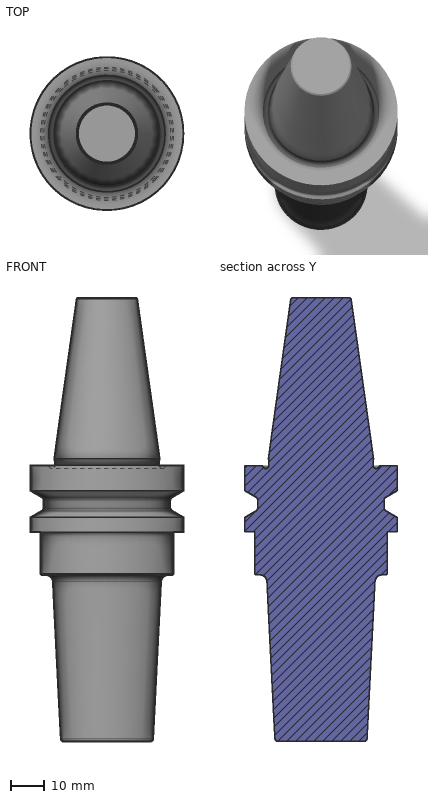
import cadquery as cq
import math

total_length = 133.4

nose_tip_radius = 13.9
nose_top_radius = 16.4
nose_tip_fillet_radius = 1.1

collar_radius = 20.0
collar_bottom_z = 50.0
collar_edge_chamfer = 0.4
neck_fillet_radius = 2.0

flange_diameter = 46.0
flange_radius = flange_diameter / 2
flange_bottom_z = 63.0
flange_top_z = 83.0
groove_bottom_z = 67.4
groove_top_z = 75.4
groove_floor_radius = 19.1
groove_wall_angle = 30.0
groove_fillet_radius = 0.8

taper_base_radius = 15.9
taper_base_z = 85.0
taper_tip_radius = 9.1
taper_tip_chamfer = 0.4

relief_radius = 15.7
relief_top_z = 84.3
recess_outer_radius = 17.5


def revolve_outline(points):
    """Turn a closed (radius, height) outline about the Z axis."""
    return cq.Workplane("XZ").polyline(points).close().revolve(360, (0, 0), (0, 1))


def ring_edges(body, radius, z):
    """Pick the circular edge of the given radius at the given height."""
    tolerance = 0.01
    return body.edges(
        cq.selectors.BoxSelector(
            (-radius - tolerance, -radius - tolerance, z - tolerance),
            (radius + tolerance, radius + tolerance, z + tolerance),
            boundingbox=True,
        )
    )


def make_nose():
    nose = revolve_outline([
        (0, 0),
        (nose_tip_radius, 0),
        (nose_top_radius, collar_bottom_z),
        (0, collar_bottom_z),
    ])
    return nose.faces("<Z").fillet(nose_tip_fillet_radius)


def make_collar():
    collar = cq.Workplane("XY").workplane(offset=collar_bottom_z).circle(collar_radius)
    return collar.extrude(flange_bottom_z - collar_bottom_z).faces("<Z").chamfer(collar_edge_chamfer)


def make_flange():
    wall_height = (flange_radius - groove_floor_radius) * math.tan(math.radians(groove_wall_angle))
    floor_bottom_z = groove_bottom_z + wall_height
    floor_top_z = groove_top_z - wall_height
    flange = revolve_outline([
        (0, flange_bottom_z),
        (flange_radius, flange_bottom_z),
        (flange_radius, groove_bottom_z),
        (groove_floor_radius, floor_bottom_z),
        (groove_floor_radius, floor_top_z),
        (flange_radius, groove_top_z),
        (flange_radius, flange_top_z),
        (0, flange_top_z),
    ])
    for floor_z in (floor_bottom_z, floor_top_z):
        flange = ring_edges(flange, groove_floor_radius, floor_z).fillet(groove_fillet_radius)
    return flange


def make_recess():
    """Half-round ring groove around the foot of the taper."""
    groove_radius = (recess_outer_radius - relief_radius) / 2
    recess = cq.Workplane("XZ").moveTo(relief_radius, flange_top_z)
    recess = recess.threePointArc(
        (relief_radius + groove_radius, flange_top_z - groove_radius),
        (recess_outer_radius, flange_top_z),
    )
    return recess.close().revolve(360, (0, 0), (0, 1))


def make_taper():
    taper = revolve_outline([
        (0, flange_top_z),
        (relief_radius, flange_top_z),
        (relief_radius, relief_top_z),
        (taper_base_radius, taper_base_z),
        (taper_tip_radius, total_length),
        (0, total_length),
    ])
    return taper.faces(">Z").chamfer(taper_tip_chamfer)


def make_holder_body():
    """Join the nose and collar, rounding the inside corner between them."""
    body = make_nose().union(make_collar())
    return ring_edges(body, nose_top_radius, collar_bottom_z).fillet(neck_fillet_radius)


result = make_holder_body().union(make_flange()).union(make_taper()).cut(make_recess())